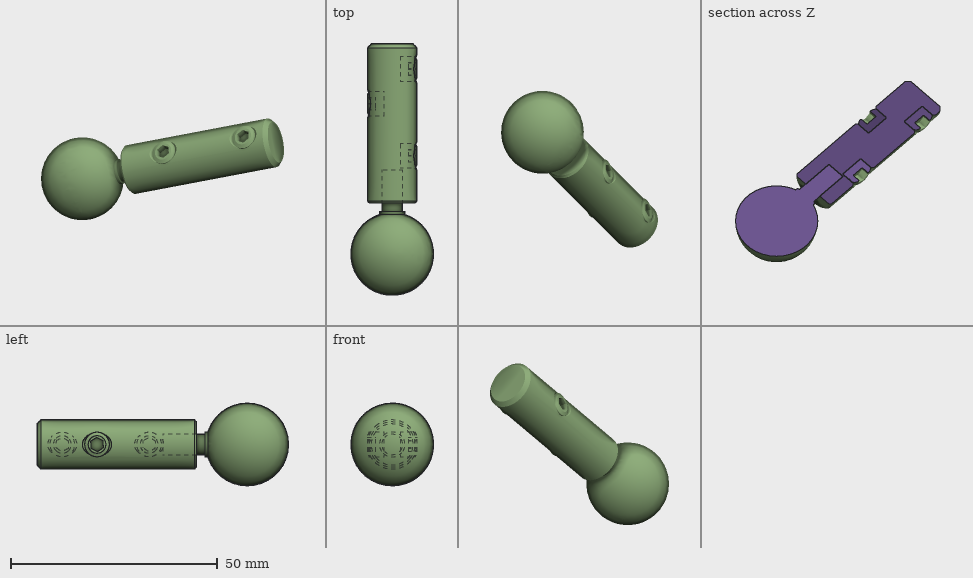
import cadquery as cq
import math

overall_length = 60.75
ball_diameter = 20.0
ball_radius = ball_diameter / 2
collar_diameter = 6.1
collar_end_y = 10.2
shank_diameter = 5.0

sleeve_diameter = 12.0
sleeve_radius = sleeve_diameter / 2
sleeve_front_y = 12.3
sleeve_rear_y = overall_length - ball_radius
front_chamfer = 0.5
rear_chamfer = 1.0
stud_bore_depth = 8.0
stud_end_y = sleeve_front_y + stud_bore_depth

screw_diameter = 5.95
screw_radius = screw_diameter / 2
screw_length = 4.0
screw_chamfer_depth = 0.4
screw_chamfer_width = 0.85
hex_across_flats = 3.0
hex_depth = 2.0
hex_rotation = 93.0
countersink_depth = 0.55
countersink_angle = 45

screw_places = [
    (36.3, -1),
    (23.7, 1),
    (44.65, 1),
]


def rod(diameter, start_y, end_y):
    """Cylinder on the Y axis between two positions."""
    plane = cq.Plane(origin=(0, start_y, 0), xDir=(1, 0, 0), normal=(0, 1, 0))
    return cq.Workplane(plane).circle(diameter / 2).extrude(end_y - start_y)


def radial_plane(y, side, distance):
    """Plane facing away from the sleeve axis, on the -X or +X side."""
    return cq.Plane(origin=(side * distance, y, 0), xDir=(0, 1, 0), normal=(side, 0, 0))


def make_ball_stud():
    ball = cq.Workplane("XY").sphere(ball_radius)
    collar = rod(collar_diameter, 0, collar_end_y)
    shank = rod(shank_diameter, 0, stud_end_y)
    return ball.union(collar).union(shank)


def make_screw_hole(y, side):
    """Cutter: flat-bottomed hole with a countersink at the sleeve surface."""
    bottom = sleeve_radius - screw_length
    hole = (
        cq.Workplane(radial_plane(y, side, bottom))
        .circle(screw_radius)
        .extrude(sleeve_radius - bottom)
    )
    countersink = (
        cq.Workplane(radial_plane(y, side, sleeve_radius))
        .circle(screw_radius + countersink_depth)
        .extrude(-countersink_depth, taper=countersink_angle)
    )
    return hole.union(countersink)


def make_sleeve():
    sleeve = rod(sleeve_diameter, sleeve_front_y, sleeve_rear_y)
    sleeve = sleeve.faces("<Y").chamfer(front_chamfer)
    sleeve = sleeve.faces(">Y").chamfer(rear_chamfer)
    sleeve = sleeve.cut(rod(shank_diameter, sleeve_front_y, stud_end_y))
    for y, side in screw_places:
        sleeve = sleeve.cut(make_screw_hole(y, side))
    return sleeve


def make_set_screw(y, side):
    """Headless screw with a chamfered outer edge and a hexagon socket."""
    screw = (
        cq.Workplane(radial_plane(y, side, sleeve_radius - screw_chamfer_depth))
        .circle(screw_radius)
        .extrude(screw_chamfer_depth - screw_length)
    )
    chamfer_taper = math.degrees(math.atan2(screw_chamfer_width, screw_chamfer_depth))
    chamfered_end = (
        cq.Workplane(radial_plane(y, side, sleeve_radius - screw_chamfer_depth))
        .circle(screw_radius)
        .extrude(screw_chamfer_depth, taper=chamfer_taper)
    )
    screw = screw.union(chamfered_end)
    hex_corner_diameter = hex_across_flats / math.cos(math.pi / 6)
    socket = (
        cq.Workplane(radial_plane(y, side, sleeve_radius))
        .transformed(rotate=(0, 0, hex_rotation))
        .polygon(6, hex_corner_diameter)
        .extrude(-hex_depth)
    )
    return screw.cut(socket)


ball_stud = make_ball_stud()
sleeve = make_sleeve()
set_screws = [make_set_screw(y, side) for y, side in screw_places]

result = cq.Compound.makeCompound(
    [ball_stud.val(), sleeve.val(), *[screw.val() for screw in set_screws]]
)